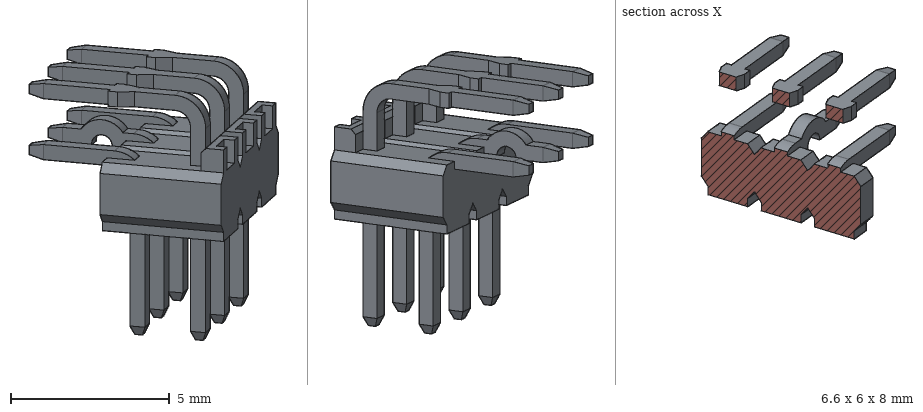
import cadquery as cq
import math


overall_height = 8.0
unit_count = 3
pitch = 2.0
tip_x = -4.6
unit_centres = [(index - (unit_count - 1) / 2) * pitch for index in range(unit_count)]

pin_size = pitch / 4
bend_outer_radius = pitch / 2
bend_inner_radius = bend_outer_radius - pin_size
contact_taper_length = 0.5
contact_tip_size = 0.3
tail_taper_length = 0.3
tail_tip_size = pin_size / 2

lower_axis_z = 1.125 * pitch
upper_axis_z = lower_axis_z + pitch
lower_stem_x = -pitch / 2
upper_stem_x = pitch / 2
tail_end_z = upper_axis_z + pin_size / 2 - overall_height

body_length = 2 * pitch
body_height = lower_axis_z
unit_flat_width = 0.75 * pitch
bevel_height = 0.15 * pitch
foot_height = 0.15 * pitch

tab_front_x = upper_stem_x + pin_size / 2
tab_thickness = body_length / 2 - tab_front_x
tab_height = tab_thickness
tab_chamfer = 0.16
notch_depth = 0.34
notch_width = 0.78

barb_front_x = -1.9
barb_flat_length = 0.3
barb_ramp_length = 0.5
barb_width = 0.88

arch_x = -2.8
arch_rise = 0.37
arch_outer_radius = 0.84
arch_inner_radius = arch_outer_radius - pin_size


def make_unit_body():
    """One housing unit with bevelled sides and a straight foot."""
    edge = pitch / 2
    flat = unit_flat_width / 2
    shoulder_z = foot_height + bevel_height
    section = [
        (-flat, 0),
        (flat, 0),
        (flat, foot_height),
        (edge, shoulder_z),
        (edge, body_height - bevel_height),
        (flat, body_height),
        (-flat, body_height),
        (-edge, body_height - bevel_height),
        (-edge, shoulder_z),
        (-flat, foot_height),
    ]
    return cq.Workplane("YZ").polyline(section).close().extrude(body_length / 2, both=True)


def make_tab():
    """Upright tab, chamfered along its front and notched through its back."""
    back_x = body_length / 2
    top_z = body_height + tab_height
    tab = (
        cq.Workplane("XZ")
        .moveTo(tab_front_x, body_height)
        .lineTo(back_x, body_height)
        .lineTo(back_x, top_z)
        .lineTo(tab_front_x + tab_chamfer, top_z)
        .lineTo(tab_front_x, top_z - tab_chamfer)
        .close()
        .extrude(unit_flat_width / 2, both=True)
    )
    notch = (
        cq.Workplane("XY", origin=(back_x - notch_depth / 2, 0, body_height))
        .rect(notch_depth, notch_width)
        .extrude(tab_height)
    )
    return tab.cut(notch)


def add_arch(path, z, radius, centre_z, towards_x):
    """Continue a horizontal outline edge at height z over an arch, in direction +1 or -1 along X."""
    half_chord = math.sqrt(radius**2 - (z - centre_z) ** 2)
    start_x = arch_x - towards_x * half_chord
    end_x = arch_x + towards_x * half_chord
    return path.lineTo(start_x, z).threePointArc((arch_x, centre_z + radius), (end_x, z))


def make_bent_bar(stem_x, axis_z, arched):
    """Square bar running in X, then bent down through the housing, without its tapered ends."""
    half = pin_size / 2
    front_x = tip_x + contact_taper_length
    back_x = stem_x + half
    top_z = axis_z + half
    bottom_z = axis_z - half
    shank_end_z = tail_end_z + tail_taper_length
    bend_x = back_x - bend_outer_radius
    bend_z = top_z - bend_outer_radius
    diagonal = math.sqrt(0.5)
    outer_mid = (bend_x + bend_outer_radius * diagonal, bend_z + bend_outer_radius * diagonal)
    inner_mid = (bend_x + bend_inner_radius * diagonal, bend_z + bend_inner_radius * diagonal)
    arch_centre_z = top_z + arch_rise - arch_outer_radius

    path = cq.Workplane("XZ").moveTo(front_x, top_z)
    if arched:
        path = add_arch(path, top_z, arch_outer_radius, arch_centre_z, 1)
    path = (
        path.lineTo(bend_x, top_z)
        .threePointArc(outer_mid, (back_x, bend_z))
        .lineTo(back_x, shank_end_z)
        .lineTo(stem_x - half, shank_end_z)
        .lineTo(stem_x - half, bend_z)
        .threePointArc(inner_mid, (bend_x, bottom_z))
    )
    if arched:
        path = add_arch(path, bottom_z, arch_inner_radius, arch_centre_z, -1)
    return path.lineTo(front_x, bottom_z).close().extrude(half, both=True)


def make_taper(plane, tip_size, length):
    """Square taper that starts at full pin size on the plane and narrows along its normal."""
    return (
        cq.Workplane(plane)
        .rect(pin_size, pin_size)
        .workplane(offset=length)
        .rect(tip_size, tip_size)
        .loft(ruled=True)
    )


def make_pin(stem_x, axis_z, arched=False):
    """Bent pin with a tapered contact end and a tapered tail."""
    contact_plane = cq.Plane(
        origin=(tip_x + contact_taper_length, 0, axis_z), xDir=(0, 1, 0), normal=(-1, 0, 0)
    )
    tail_plane = cq.Plane(
        origin=(stem_x, 0, tail_end_z + tail_taper_length), xDir=(1, 0, 0), normal=(0, 0, -1)
    )
    return (
        make_bent_bar(stem_x, axis_z, arched)
        .union(make_taper(contact_plane, contact_tip_size, contact_taper_length))
        .union(make_taper(tail_plane, tail_tip_size, tail_taper_length))
    )


def make_barb():
    """Widening of the upper pin: square front shoulders, ramping back to the pin width."""
    flat_end_x = barb_front_x + barb_flat_length
    ramp_end_x = flat_end_x + barb_ramp_length
    outline = [
        (barb_front_x, -barb_width / 2),
        (flat_end_x, -barb_width / 2),
        (ramp_end_x, -pin_size / 2),
        (ramp_end_x, pin_size / 2),
        (flat_end_x, barb_width / 2),
        (barb_front_x, barb_width / 2),
    ]
    return (
        cq.Workplane("XY", origin=(0, 0, upper_axis_z))
        .polyline(outline)
        .close()
        .extrude(pin_size / 2, both=True)
    )


def make_unit(arched):
    """Housing unit with its tab and both pins, centred on Y = 0."""
    return (
        make_unit_body()
        .union(make_tab())
        .union(make_pin(upper_stem_x, upper_axis_z))
        .union(make_barb())
        .union(make_pin(lower_stem_x, lower_axis_z, arched))
    )


result = cq.Workplane("XY")
for unit_y in unit_centres:
    result = result.union(make_unit(arched=unit_y == 0).translate((0, unit_y, 0)))
result = result.clean()